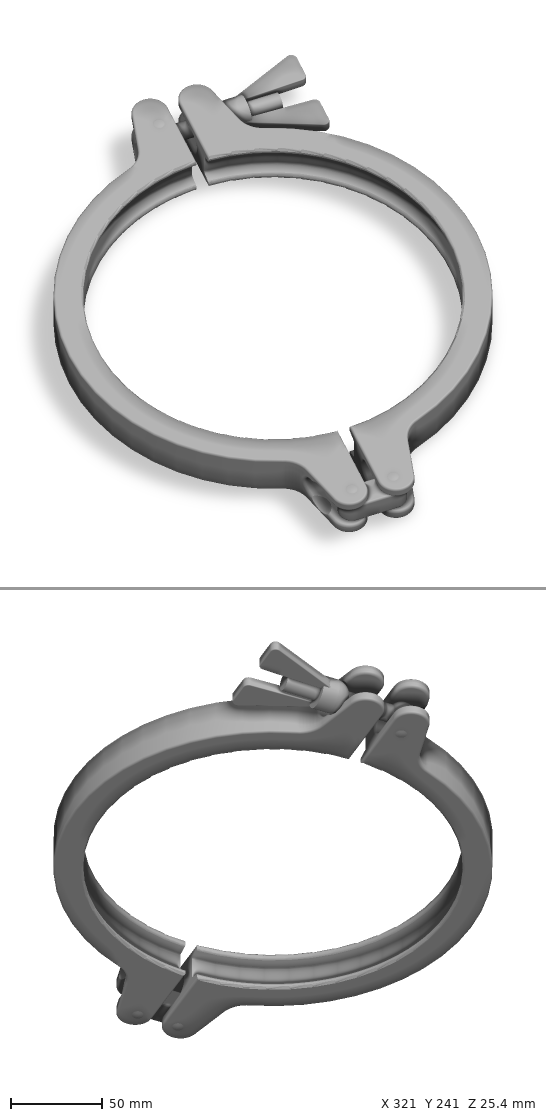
import cadquery as cq
import math


ring_outer_radius = 120.5
ring_inner_radius = 104.0
half_height = 12.2
half_gap = 3.5
edge_fillet = 1.3

groove_radius = 110.7
groove_mouth_half_width = 8.7
groove_floor_half_width = 6.7
groove_overcut = 3.2
groove_floor_fillet = 1.3
groove_mouth_fillet = 1.5

lug_tip_x = 157.0
lug_radius = 10.3
lug_x = lug_tip_x - lug_radius
lug_y = half_gap + lug_radius
lug_taper = math.radians(14)
lug_root_radius = 15.7

slot_half_height = 6.25
slot_end_x = 122.0
slot_edge_fillet = 1.5

pin_radius = 3.2
pin_dome_height = 0.48

link_x = lug_x
link_pin_y = 12.2
link_radius = 7.7
link_edge_fillet = 1.3

bolt_x = -137.0
bolt_pin_y = -12.5
bolt_radius = 5.0
bolt_end_y = 58.7
ball_radius = 8.5

collar_radius = 9.5
collar_top_y = 38.8
dome_center_y = 29.5
dome_end_y = 21.8
wing_top_y = 78.3
wing_bottom_y = 32.7
wing_thickness = 5.8
wing_half_span = 27.0
wing_flare = math.radians(24)
wing_inner_top_x = 7.7
wing_inner_bottom_x = 6.0
wing_corner_radius = 3.2
wing_edge_fillet = 0.48

seat_radius = 10.5

pick_margin = 0.03


def mirrored(point):
    """The same point on the other side of the YZ plane."""
    return (-point[0], point[1])


def half_plate():
    """Half ring with a tapered lug at each end, blended into the ring by a concave arc."""
    normal_x, normal_y = math.sin(lug_taper), math.cos(lug_taper)
    normal_reach = normal_x * lug_x + normal_y * lug_y + lug_radius + lug_root_radius
    center_reach = ring_outer_radius + lug_root_radius
    edge_reach = math.sqrt(center_reach**2 - normal_reach**2)
    center_x = normal_reach * normal_x + edge_reach * normal_y
    center_y = normal_reach * normal_y - edge_reach * normal_x

    def on_blend(angle):
        return (
            center_x + lug_root_radius * math.cos(angle),
            center_y + lug_root_radius * math.sin(angle),
        )

    edge_angle = -math.pi / 2 - lug_taper
    ring_angle = math.atan2(center_y, center_x) - math.pi
    blend_start = on_blend(edge_angle)
    blend_middle = on_blend((edge_angle + ring_angle) / 2)
    blend_end = on_blend(ring_angle)

    lug_tip = (lug_tip_x, lug_y)
    lug_end = (lug_x + lug_radius * normal_x, lug_y + lug_radius * normal_y)
    inner_x = math.sqrt(ring_inner_radius**2 - half_gap**2)
    return (
        cq.Workplane("XY", origin=(0, 0, -half_height))
        .moveTo(inner_x, half_gap)
        .lineTo(lug_x, half_gap)
        .threePointArc(lug_tip, lug_end)
        .lineTo(*blend_start)
        .threePointArc(blend_middle, blend_end)
        .threePointArc((0, ring_outer_radius), mirrored(blend_end))
        .threePointArc(mirrored(blend_middle), mirrored(blend_start))
        .lineTo(*mirrored(lug_end))
        .threePointArc(mirrored(lug_tip), (-lug_x, half_gap))
        .lineTo(-inner_x, half_gap)
        .threePointArc((0, ring_inner_radius), (inner_x, half_gap))
        .close()
        .extrude(2 * half_height)
    )


def cut_lug_slot(half, side):
    """Cut the slot of one lug (side is +1 or -1 along X) and round its rims."""
    length = 2 * (lug_tip_x - slot_end_x)
    slot = (
        cq.Workplane("XZ")
        .center(side * (slot_end_x + length / 2), 0)
        .slot2D(length, 2 * slot_half_height)
        .extrude(-ring_outer_radius)
    )
    near_x, far_x = sorted((side * (slot_end_x - pick_margin), side * (lug_tip_x + pick_margin)))
    pick_z = slot_half_height + pick_margin
    slot_zone = cq.selectors.BoxSelector((near_x, 0, -pick_z), (far_x, ring_outer_radius, pick_z))
    rims = slot_zone - cq.selectors.StringSyntaxSelector("|Y")
    return half.cut(slot).edges(rims).fillet(slot_edge_fillet)


def nut_seat(x):
    return cq.Workplane("XY", origin=(x, dome_center_y, 0)).sphere(seat_radius)


def groove():
    """Cutter of the V groove: a ring that narrows toward its rounded floor."""
    slope = (groove_mouth_half_width - groove_floor_half_width) / (groove_radius - ring_inner_radius)
    cutter_inner_radius = ring_inner_radius - groove_overcut
    cutter_half_width = groove_mouth_half_width + slope * groove_overcut
    return (
        cq.Workplane("XY")
        .polyline(
            [
                (cutter_inner_radius, cutter_half_width),
                (groove_radius, groove_floor_half_width),
                (groove_radius, -groove_floor_half_width),
                (cutter_inner_radius, -cutter_half_width),
            ]
        )
        .close()
        .extrude(3.2)
        .edges("|Z and >X")
        .fillet(groove_floor_fillet)
        .faces("<Z")
        .wires()
        .toPending()
        .revolve(360, (0, 0, 0), (0, 1, 0), combine=False)
        .rotate((0, 0, 0), (1, 0, 0), 90)
    )


def cut_groove(half):
    """Cut the groove and round both edges of its mouth."""
    half = half.cut(groove())
    for z in (groove_mouth_half_width, -groove_mouth_half_width):
        mouth_zone = cq.selectors.BoxSelector(
            (-ring_inner_radius, 0, z - pick_margin),
            (ring_inner_radius, ring_inner_radius, z + pick_margin),
        )
        half = half.edges(mouth_zone).fillet(groove_mouth_fillet)
    return half


def clamp_half():
    """One half on the +Y side, without pin holes."""
    half = half_plate().faces("<Z or >Z").edges().fillet(edge_fillet)
    for side in (1, -1):
        half = cut_lug_slot(half, side)
    for x in (bolt_x, -bolt_x):
        half = half.cut(nut_seat(x))
    return cut_groove(half)


def pin(x, y):
    """Pin along Z through a pair of lugs; its shallow domes stand out of the faces."""
    dome_radius = (pin_radius**2 + pin_dome_height**2) / (2 * pin_dome_height)
    top = half_height + pin_dome_height
    middle_x = pin_radius / 2
    middle_z = top - dome_radius + math.sqrt(dome_radius**2 - middle_x**2)
    return (
        cq.Workplane("XZ", origin=(x, y, 0))
        .moveTo(0, -top)
        .threePointArc((middle_x, -middle_z), (pin_radius, -half_height))
        .lineTo(pin_radius, half_height)
        .threePointArc((middle_x, middle_z), (0, top))
        .close()
        .revolve(360, (0, 0, 0), (0, 1, 0))
    )


def hinge_link():
    """Round-ended link that fills the lug slots, with a pin at each end."""
    link = (
        cq.Workplane("XY", origin=(link_x, 0, -slot_half_height))
        .slot2D(2 * (link_pin_y + link_radius), 2 * link_radius, 90)
        .extrude(2 * slot_half_height)
        .faces("<Z or >Z")
        .edges()
        .fillet(link_edge_fillet)
    )
    for y in (link_pin_y, -link_pin_y):
        link = link.union(pin(link_x, y))
    return link


def upper_half():
    """Plain half with a hole for the free pin of the hinge link."""
    return clamp_half().cut(pin(link_x, link_pin_y))


def lower_half():
    """Half with the hinge link fixed in one lug and a hole for the bolt pin in the other."""
    return clamp_half().mirror("XZ").union(hinge_link()).cut(pin(bolt_x, bolt_pin_y))


def bolt_rod():
    """Rod along Y from a flattened ball, which turns on its own pin."""
    rod_length = bolt_end_y - bolt_pin_y
    rod = cq.Workplane("XZ", origin=(bolt_x, bolt_pin_y, 0)).circle(bolt_radius).extrude(-rod_length)
    slab = cq.Workplane("XY").box(2 * ball_radius, 2 * ball_radius, 2 * slot_half_height)
    ball = cq.Workplane("XY").sphere(ball_radius).intersect(slab).translate((bolt_x, bolt_pin_y, 0))
    return rod.union(ball).union(pin(bolt_x, bolt_pin_y))


def nut_collar():
    end_angle = math.asin((dome_center_y - dome_end_y) / collar_radius)

    def on_dome(angle):
        return (collar_radius * math.cos(angle), dome_center_y - collar_radius * math.sin(angle))

    return (
        cq.Workplane("XY", origin=(bolt_x, 0, 0))
        .moveTo(0, collar_top_y)
        .lineTo(collar_radius, collar_top_y)
        .lineTo(collar_radius, dome_center_y)
        .threePointArc(on_dome(end_angle / 2), on_dome(end_angle))
        .lineTo(0, dome_end_y)
        .close()
        .revolve(360, (0, 0, 0), (0, 1, 0))
    )


def nut_wing(side):
    """One flared wing; side is +1 or -1 along X."""
    corner_angle = math.pi / 2 - wing_flare
    top_x = wing_half_span - wing_corner_radius + wing_corner_radius / math.tan(corner_angle / 2)
    bottom_x = top_x - (wing_top_y - wing_bottom_y) * math.tan(wing_flare)
    return (
        cq.Workplane("XY", origin=(bolt_x, 0, -wing_thickness / 2))
        .polyline(
            [
                (side * wing_inner_bottom_x, wing_bottom_y),
                (side * bottom_x, wing_bottom_y),
                (side * top_x, wing_top_y),
                (side * wing_inner_top_x, wing_top_y),
            ]
        )
        .close()
        .extrude(wing_thickness)
        .edges("|Z and >Y")
        .fillet(wing_corner_radius)
        .faces("<Z or >Z")
        .edges()
        .fillet(wing_edge_fillet)
    )


def swing_bolt():
    """Bolt and wing nut as one body."""
    bolt = bolt_rod().union(nut_collar())
    for side in (1, -1):
        bolt = bolt.union(nut_wing(side))
    return bolt


upper = upper_half()
lower = lower_half()
bolt = swing_bolt()
result = cq.Compound.makeCompound([upper.val(), lower.val(), bolt.val()])